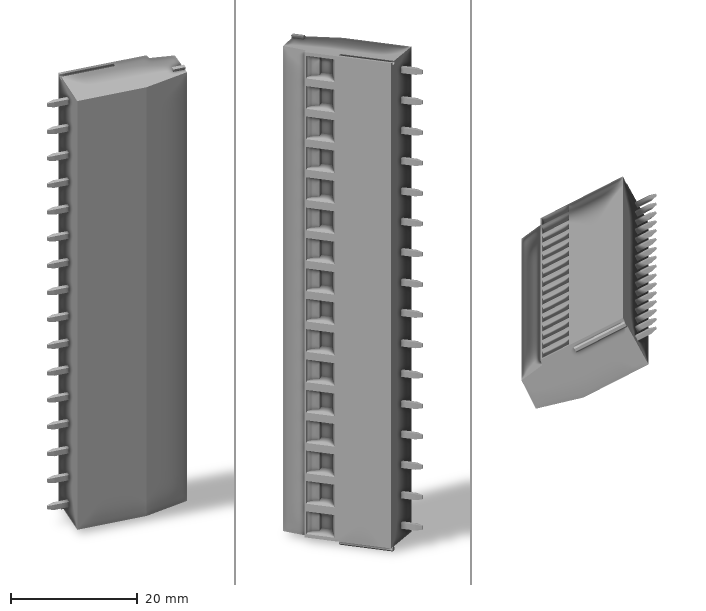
import cadquery as cq

body_thickness = 8.6
body_depth = 19.1
body_height = 81.0

shelf_y = 14.9
shelf_width = 0.9
end_face_left = 1.6
end_face_right = 6.75
face_tilt_drop = 0.2
right_slope_start_y = 11.6

pole_count = 16
end_margin = 2.5
pole_pitch = (body_height - 2 * end_margin) / (pole_count - 1)
pole_heights = [end_margin + index * pole_pitch for index in range(pole_count)]

pin_x = 4.5
pin_thickness = 0.7
pin_width = 1.0
pin_straight_length = 2.5
pin_length = 3.5
pin_tip_thickness = 0.25
pin_tip_width = 0.65

pocket_low_y = 9.6
pocket_high_y = 14.4
pocket_depth = 2.1
pocket_floor_low_y = 10.9
pocket_floor_high_y = 12.7
pocket_ledge_y = 13.9
pocket_ledge_depth = 1.0
pocket_ledge_end_depth = 1.4
pocket_lead_depth = 0.5
pocket_mouth_height = 3.8
pocket_floor_height = 2.8

rail_x = 1.0
rail_length = 9.05
rail_height = 0.7
rail_neck_width = 0.5
rail_widest_width = 1.0
rail_widest_height = 0.5
groove_depth = 0.6
groove_widest_depth = 0.3

tab_x = 5.8
tab_length = 2.05
overall_height = 82.3
tab_height = overall_height - body_height - rail_height
tab_base_width = 0.3
tab_top_width = 0.7


def make_body():
    outline = [
        (0, 0),
        (body_thickness, 0),
        (body_thickness, right_slope_start_y),
        (end_face_right, body_depth),
        (end_face_left, body_depth - face_tilt_drop),
        (shelf_width, shelf_y),
        (0, shelf_y - face_tilt_drop),
    ]
    return cq.Workplane("XY").polyline(outline).close().extrude(body_height)


def make_pin():
    """Rectangular pin pointing to -Y with a tapered tip, centred on Z = 0."""
    face = cq.Workplane("XZ").center(pin_x, 0)
    shank = face.rect(pin_thickness, pin_width).extrude(pin_straight_length)
    tip = (
        face.workplane(offset=pin_straight_length)
        .rect(pin_thickness, pin_width)
        .workplane(offset=pin_length - pin_straight_length)
        .rect(pin_tip_thickness, pin_tip_width)
        .loft()
    )
    return shank.union(tip)


def make_pocket():
    """Funnel cavity centred on Z = 0: a stepped section in XY narrowed in Z towards its floor."""
    stepped_section = [
        (0, pocket_low_y),
        (pocket_depth, pocket_floor_low_y),
        (pocket_depth, pocket_floor_high_y),
        (pocket_ledge_end_depth, pocket_floor_high_y),
        (pocket_ledge_depth, pocket_ledge_y),
        (pocket_lead_depth, pocket_high_y),
        (0, pocket_high_y),
    ]
    narrowing_section = [
        (0, -pocket_mouth_height / 2),
        (pocket_depth, -pocket_floor_height / 2),
        (pocket_depth, pocket_floor_height / 2),
        (0, pocket_mouth_height / 2),
    ]
    stepped = (
        cq.Workplane("XY")
        .workplane(offset=-pocket_mouth_height / 2)
        .polyline(stepped_section)
        .close()
        .extrude(pocket_mouth_height)
    )
    narrowing = cq.Workplane("XZ").polyline(narrowing_section).close().extrude(-body_depth)
    return stepped.intersect(narrowing)


def make_rail():
    """Headed rail below the housing, running in from the pin face."""
    neck = rail_neck_width / 2
    widest = rail_widest_width / 2
    section = [
        (rail_x - neck, 0),
        (rail_x - widest, -rail_widest_height),
        (rail_x - neck, -rail_height),
        (rail_x + neck, -rail_height),
        (rail_x + widest, -rail_widest_height),
        (rail_x + neck, 0),
    ]
    return cq.Workplane("XZ").polyline(section).close().extrude(-rail_length)


def make_groove():
    """Cavity for the rail of the next block, closed in towards its mouth on the +X side only."""
    neck = rail_neck_width / 2
    widest = rail_widest_width / 2
    widest_z = body_height - groove_widest_depth
    floor_z = body_height - groove_depth
    section = [
        (rail_x - widest, body_height),
        (rail_x - widest, widest_z),
        (rail_x - neck, floor_z),
        (rail_x + neck, floor_z),
        (rail_x + widest, widest_z),
        (rail_x + neck, body_height),
    ]
    return cq.Workplane("XZ").polyline(section).close().extrude(-rail_length)


def make_tab():
    section = [
        (tab_x - tab_base_width / 2, body_height),
        (tab_x + tab_base_width / 2, body_height),
        (tab_x + tab_top_width / 2, body_height + tab_height),
        (tab_x - tab_top_width / 2, body_height + tab_height),
    ]
    return (
        cq.Workplane("XZ", origin=(0, body_depth, 0))
        .polyline(section)
        .close()
        .extrude(tab_length)
    )


result = make_body().cut(make_groove()).union(make_rail()).union(make_tab())

pin = make_pin()
pocket = make_pocket()
for height in pole_heights:
    result = result.cut(pocket.translate((0, 0, height)))
    result = result.union(pin.translate((0, 0, height)))